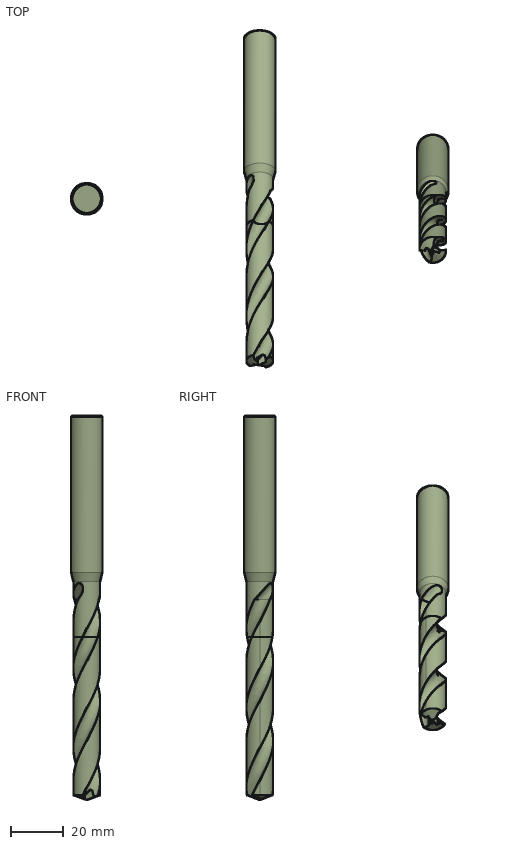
import cadquery as cq
import math

total_length = 146.0
shank_diameter = 12.0
drill_diameter = 10.2
drill_radius = drill_diameter / 2
point_angle = 140.0
point_height = drill_radius / math.tan(math.radians(point_angle / 2))

joint_height = 61.9
runout_height = 76.0
neck_height = 83.0
shoulder_height = 86.5
shank_chamfer = 0.6

flute_count = 2
flute_spacing = 360.0 / flute_count
flute_lead = 60.3
flute_radius = 3.0
flute_offset = 4.7
flute_joint_angle = -72.0
runout_end_height = 82.3
runout_offset = 8.2
runout_turn = 44.0
cutter_overrun = 1.5

gash_left = -0.6
gash_right = 2.5
gash_peak = 1.9
gash_peak_height = 4.5
gash_side_height = 2.0
gash_web = 0.3
gash_slope = 0.2


def flute_angle(height):
    """Direction of the first flute's centre at a height, in degrees."""
    return flute_joint_angle + 360.0 * (height - joint_height) / flute_lead


def flute_circle(offset, angle, height):
    """Level outline of a flute, turned so that its start point faces outward."""
    circle = cq.Wire.makeCircle(flute_radius, cq.Vector(offset, 0, height), cq.Vector(0, 0, 1))
    return circle.rotate(cq.Vector(0, 0, 0), cq.Vector(0, 0, 1), angle)


def helix_cutter(bottom, top):
    """Cutter for the first flute between two heights on the helix."""
    outline = flute_circle(flute_offset, flute_angle(bottom), bottom)
    twist = flute_angle(top) - flute_angle(bottom)
    axis_start = cq.Vector(0, 0, bottom)
    axis_travel = cq.Vector(0, 0, top - bottom)
    return cq.Workplane(cq.Solid.extrudeLinearWithRotation(outline, [], axis_start, axis_travel, twist))


def runout_cutter():
    """Slanted cutter that carries the first flute out through the drill surface."""
    angle = flute_angle(runout_height)
    start = flute_circle(flute_offset, angle, runout_height)
    end = flute_circle(runout_offset, angle + runout_turn, runout_end_height)
    return cq.Workplane(cq.Solid.makeLoft([start, end], True))


def cut_all_flutes(body, cutter):
    """Repeat a cut at every flute around the axis."""
    for index in range(flute_count):
        body = body.cut(cutter.rotate((0, 0, 0), (0, 0, 1), index * flute_spacing))
    return body


def gash_cutter():
    """Notch with a peaked outline and an overhanging face, in front of the web."""
    outline = (
        cq.Workplane("XZ")
        .polyline([
            (gash_left, 0),
            (gash_left, gash_side_height),
            (gash_peak, gash_peak_height),
            (gash_right, gash_side_height),
            (gash_right, 0),
        ])
        .close()
        .extrude(drill_diameter)
    )
    face_reach = gash_web + gash_slope * gash_peak_height
    front = (
        cq.Workplane("YZ")
        .polyline([
            (-gash_web, 0),
            (-face_reach, gash_peak_height),
            (-drill_diameter, gash_peak_height),
            (-drill_diameter, 0),
        ])
        .close()
        .extrude(drill_radius, both=True)
    )
    return outline.intersect(front)


def make_cutting_head():
    point = (
        cq.Workplane("XZ")
        .polyline([
            (0, 0),
            (drill_radius, point_height),
            (drill_radius, joint_height),
            (0, joint_height),
        ])
        .close()
        .revolve(360, (0, 0), (0, 1))
    )
    head = cut_all_flutes(point, helix_cutter(-cutter_overrun, joint_height + cutter_overrun))
    return cut_all_flutes(head, gash_cutter())


def make_shank():
    shank_radius = shank_diameter / 2
    shank = (
        cq.Workplane("XZ")
        .polyline([
            (0, joint_height),
            (drill_radius, joint_height),
            (drill_radius, neck_height),
            (shank_radius, shoulder_height),
            (shank_radius, total_length - shank_chamfer),
            (shank_radius - shank_chamfer, total_length),
            (0, total_length),
        ])
        .close()
        .revolve(360, (0, 0), (0, 1))
    )
    shank = cut_all_flutes(shank, helix_cutter(joint_height - cutter_overrun, runout_height))
    return cut_all_flutes(shank, runout_cutter())


cutting_head = make_cutting_head()
shank = make_shank()

result = cq.Compound.makeCompound([cutting_head.val(), shank.val()])